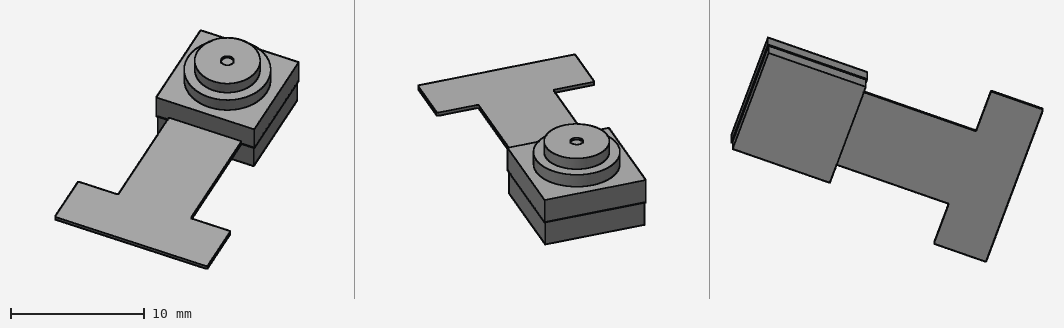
import cadquery as cq

total_length = 21.12
total_height = 6.0

housing_width = 8.1
housing_depth = 7.92
housing_top = 4.0
base_inset = 0.08
base_height = 2.0

barrel_diameter = 6.48
barrel_top = 5.05
lens_diameter = 4.9
aperture_diameter = 0.97
aperture_depth = 0.17

cable_width = 6.0
cable_thickness = 0.3
tab_width = 12.59
tab_depth = 4.16
tab_corner_radius = 0.1

housing_front = -housing_depth / 2
cable_end = housing_depth / 2 - total_length
tab_back = cable_end + tab_depth


def block(width, depth, bottom, top):
    """Rectangular block centred on the lens axis."""
    return cq.Workplane("XY").workplane(offset=bottom).rect(width, depth).extrude(top - bottom)


def disc(diameter, bottom, top):
    """Cylinder on the lens axis."""
    return cq.Workplane("XY").workplane(offset=bottom).circle(diameter / 2).extrude(top - bottom)


def flex_cable():
    """T-shaped sheet that leaves the housing along -Y, flush with the housing underside."""
    half_cable = cable_width / 2
    half_tab = tab_width / 2
    outline = [
        (half_cable, 0),
        (half_cable, tab_back),
        (half_tab, tab_back),
        (half_tab, cable_end),
        (-half_tab, cable_end),
        (-half_tab, tab_back),
        (-half_cable, tab_back),
        (-half_cable, 0),
    ]
    sheet = cq.Workplane("XY").workplane(offset=base_height).polyline(outline).close()
    sheet = sheet.extrude(cable_thickness)
    outside = cq.selectors.BoxSelector(
        (-tab_width, -total_length, 0),
        (tab_width, housing_front, total_height),
    )
    return sheet.edges("|Z").edges(outside).fillet(tab_corner_radius)


base = block(housing_width - 2 * base_inset, housing_depth - 2 * base_inset, 0, base_height)
housing = block(housing_width, housing_depth, base_height, housing_top)
barrel = disc(barrel_diameter, housing_top, barrel_top)
lens = disc(lens_diameter, barrel_top, total_height)
aperture = disc(aperture_diameter, total_height - aperture_depth, total_height)

result = base.union(housing).union(barrel).union(lens).union(flex_cable()).cut(aperture)